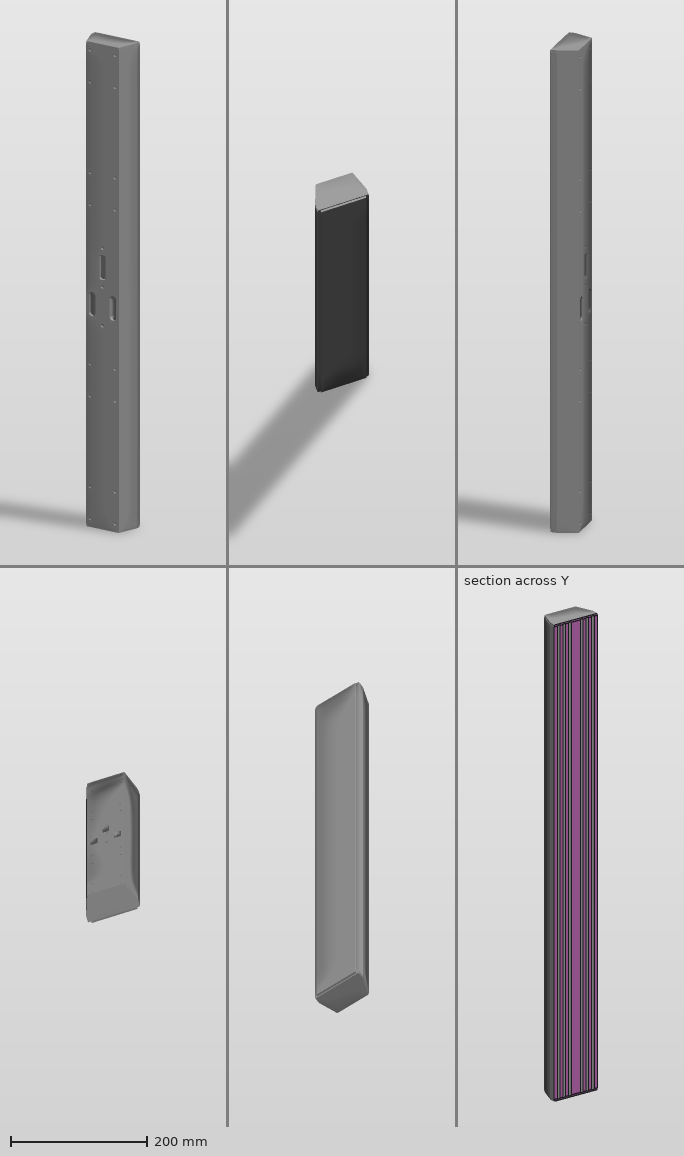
import cadquery as cq

LENGTH = 756.0
WIDTH = 80.0
DEPTH = 43.0

CAP_THICKNESS = 2.95
CAP_SIDE_INSET = 1.0

PLATE_WIDTH = 70.0
PLATE_THICKNESS = 3.0

FRONT_WIDTH = 58.0
FLANK_DEPTH = 30.0

FRONT_WALL = 4.5
BACK_WALL = 6.0
CHAMBER_BACK_HALF = 33.0
CHAMBER_FRONT_HALF = 26.5
CHAMBER_SIDE_DEPTH = 7.0
MIDDLE_FRONT_HALF = 10.5
MIDDLE_BACK_HALF = 1.5
WEB_WIDTH = 4.5

WEB_HOLE_DIAMETER = 4.1
WEB_HOLE_DEPTH = 15.0
WEB_HOLE_YS = (13.0, 26.5)

GROOVE_WIDTH = 4.1
GROOVE_DEPTH = 1.5
GROOVE_FIRST_X = 10.5
GROOVE_LAST_X = 31.0
GROOVES_PER_SIDE = 3

MOUNT_HOLE_DIAMETER = 4.5
MOUNT_HOLE_X = 22.0
MOUNT_PAIR_PITCH = 50.0
MOUNT_PAIR_ZS = (-340.0, -149.0, 149.0, 340.0)
CENTER_HOLE_DIAMETER = 5.0
CENTER_HOLE_PITCH = 60.5
SLOT_LENGTH = 38.0
SLOT_WIDTH = 11.0
SLOT_X = 18.0
CONNECTOR_LENGTH = 38.5
CONNECTOR_WIDTH = 10.5
CONNECTOR_CORNER = 3.0

rail_length = LENGTH - 2 * CAP_THICKNESS
rail_depth = DEPTH - PLATE_THICKNESS
chamber_back_y = rail_depth - BACK_WALL
center_hole_zs = [i * CENTER_HOLE_PITCH for i in (-1, 0, 1)]
connector_z = CENTER_HOLE_PITCH / 2
slot_z = -CENTER_HOLE_PITCH / 2


def mirrored(points):
    """The points reflected to the other side of the YZ plane."""
    return [(-x, y) for x, y in reversed(points)]


def bar(points, length):
    """A straight bar along Z, centred on Z = 0, with the given XY outline."""
    return cq.Workplane("XY").workplane(offset=-length / 2).polyline(points).close().extrude(length)


def body_outline(side_inset=0):
    """Outline shared by the rail and the caps, each side moved inward by the inset."""
    front_half = FRONT_WIDTH / 2 - side_inset
    back_half = WIDTH / 2 - side_inset
    right = [(front_half, 0), (back_half, FLANK_DEPTH), (back_half, rail_depth)]
    return right + mirrored(right)


def middle_half_width(y):
    """Half width of the tapering middle chamber at depth y."""
    slope = (MIDDLE_FRONT_HALF - MIDDLE_BACK_HALF) / (chamber_back_y - FRONT_WALL)
    return MIDDLE_FRONT_HALF - slope * (y - FRONT_WALL)


def chambers():
    middle_right = [(MIDDLE_FRONT_HALF, FRONT_WALL), (MIDDLE_BACK_HALF, chamber_back_y)]
    side = [
        (MIDDLE_FRONT_HALF + WEB_WIDTH, FRONT_WALL),
        (CHAMBER_FRONT_HALF, FRONT_WALL),
        (CHAMBER_BACK_HALF, chamber_back_y - CHAMBER_SIDE_DEPTH),
        (CHAMBER_BACK_HALF, chamber_back_y),
        (MIDDLE_BACK_HALF + WEB_WIDTH, chamber_back_y),
    ]
    middle = bar(middle_right + mirrored(middle_right), rail_length)
    return [middle, bar(side, rail_length), bar(mirrored(side), rail_length)]


def web_holes():
    centers = [
        (side * (middle_half_width(y) + WEB_WIDTH / 2), y) for side in (-1, 1) for y in WEB_HOLE_YS
    ]
    lower = cq.Workplane("XY").workplane(offset=-rail_length / 2).pushPoints(centers)
    upper = cq.Workplane("XY").workplane(offset=rail_length / 2).pushPoints(centers)
    return [
        lower.circle(WEB_HOLE_DIAMETER / 2).extrude(WEB_HOLE_DEPTH),
        upper.circle(WEB_HOLE_DIAMETER / 2).extrude(-WEB_HOLE_DEPTH),
    ]


def back_grooves():
    pitch = (GROOVE_LAST_X - GROOVE_FIRST_X) / (GROOVES_PER_SIDE - 1)
    centers = [
        (side * (GROOVE_FIRST_X + i * pitch), rail_depth - GROOVE_DEPTH / 2)
        for side in (-1, 1)
        for i in range(GROOVES_PER_SIDE)
    ]
    plane = cq.Workplane("XY").workplane(offset=-rail_length / 2)
    return plane.pushPoints(centers).rect(GROOVE_WIDTH, GROOVE_DEPTH).extrude(rail_length)


def front_points(points):
    """Given (x, z) points on the rail's front face."""
    return cq.Workplane("XZ").pushPoints(points)


def front_cutters():
    """Holes and connector opening through the front wall, and slots reaching the chamber backs."""
    mount_points = [
        (x, z + offset)
        for x in (-MOUNT_HOLE_X, MOUNT_HOLE_X)
        for z in MOUNT_PAIR_ZS
        for offset in (-MOUNT_PAIR_PITCH / 2, MOUNT_PAIR_PITCH / 2)
    ]
    center_points = [(0, z) for z in center_hole_zs]
    slot_points = [(-SLOT_X, slot_z), (SLOT_X, slot_z)]
    mount_holes = front_points(mount_points).circle(MOUNT_HOLE_DIAMETER / 2).extrude(-FRONT_WALL)
    center_holes = front_points(center_points).circle(CENTER_HOLE_DIAMETER / 2).extrude(-FRONT_WALL)
    slots = front_points(slot_points).slot2D(SLOT_LENGTH, SLOT_WIDTH, 90).extrude(-chamber_back_y)
    connector = front_points([(0, connector_z)]).rect(CONNECTOR_WIDTH, CONNECTOR_LENGTH).extrude(-FRONT_WALL)
    return [mount_holes, center_holes, slots, connector.edges("|Y").fillet(CONNECTOR_CORNER)]


def make_rail():
    rail = bar(body_outline(), rail_length)
    for cutter in [*chambers(), *web_holes(), back_grooves(), *front_cutters()]:
        rail = rail.cut(cutter)
    return rail


def make_plate():
    center_y = DEPTH - PLATE_THICKNESS / 2
    return cq.Workplane("XY").box(PLATE_WIDTH, PLATE_THICKNESS, rail_length).translate((0, center_y, 0))


def make_cap(end):
    """A flat cap on the lower (end = -1) or upper (end = 1) end of the rail."""
    cap = bar(body_outline(CAP_SIDE_INSET), CAP_THICKNESS)
    return cap.translate((0, 0, end * (LENGTH - CAP_THICKNESS) / 2))


rail = make_rail()
plate = make_plate()
caps = [make_cap(end) for end in (-1, 1)]
result = cq.Compound.makeCompound([rail.val(), plate.val(), *[cap.val() for cap in caps]])